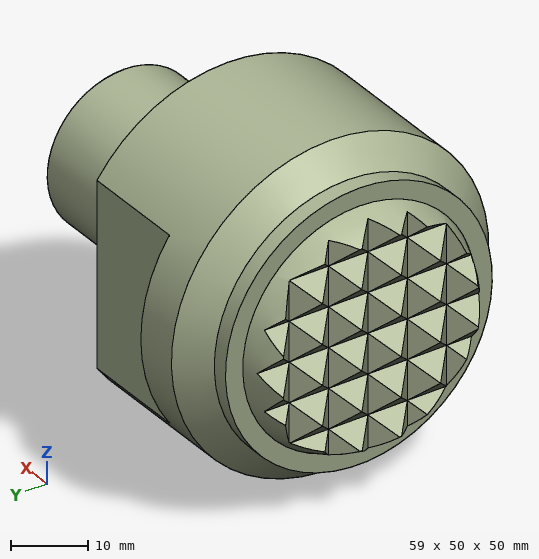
import cadquery as cq

total_length = 59.0

head_diameter = 50.0
rim_diameter = 42.0
rim_start = 5.15
rim_width = 2.55
bevel = (head_diameter - rim_diameter) / 2
bevel_start = rim_start + rim_width
bevel_end = bevel_start + bevel
head_end = 35.0

flats_width = 41.0
flats_length = 16.4

shank_diameter = 24.1
shank_chamfer = 0.55
neck_diameter = shank_diameter - 2 * shank_chamfer
neck_length = 4.95
shank_start = head_end + neck_length

ball_radius = 19.4
ball_center = bevel_end
tooth_pitch = 6.2
tooth_depth = tooth_pitch / 2
grooves_per_direction = 5


def make_ball_blank():
    """Full sphere that fills the socket."""
    profile = (
        cq.Workplane("XZ")
        .moveTo(ball_center - ball_radius, 0)
        .threePointArc((ball_center, ball_radius), (ball_center + ball_radius, 0))
        .close()
    )
    return profile.revolve(360, (0, 0, 0), (1, 0, 0))


def make_groove(offset):
    """90 degree V groove along Y, with its bottom at Z = offset."""
    return (
        cq.Workplane("XZ")
        .polyline([
            (tooth_depth, offset),
            (0, offset + tooth_pitch / 2),
            (0, offset - tooth_pitch / 2),
        ])
        .close()
        .extrude(ball_radius, both=True)
    )


def make_ball():
    """Ball cut flat at X = 0, with crossed V grooves that leave pyramid teeth."""
    flat_cutter = cq.Workplane("YZ").rect(2 * ball_radius, 2 * ball_radius).extrude(-ball_radius)
    ball = make_ball_blank().cut(flat_cutter)
    for index in range(grooves_per_direction):
        offset = (index - (grooves_per_direction - 1) / 2) * tooth_pitch
        groove = make_groove(offset)
        ball = ball.cut(groove)
        ball = ball.cut(groove.rotate((0, 0, 0), (1, 0, 0), 90))
    return ball


def make_housing():
    """Turned head and shank with two wrench flats and a spherical socket."""
    shank_radius = shank_diameter / 2
    housing = (
        cq.Workplane("XZ")
        .polyline([
            (rim_start, 0),
            (rim_start, rim_diameter / 2),
            (bevel_start, rim_diameter / 2),
            (bevel_end, head_diameter / 2),
            (head_end, head_diameter / 2),
            (head_end, neck_diameter / 2),
            (shank_start, neck_diameter / 2),
            (shank_start + shank_chamfer, shank_radius),
            (total_length - shank_chamfer, shank_radius),
            (total_length, shank_radius - shank_chamfer),
            (total_length, 0),
        ])
        .close()
        .revolve(360, (0, 0, 0), (1, 0, 0))
    )
    flat_cut_depth = (head_diameter - flats_width) / 2
    for side in (-1, 1):
        flat_cutter = cq.Workplane("XY").box(flats_length, flat_cut_depth, head_diameter).translate(
            (head_end - flats_length / 2, side * (flats_width + flat_cut_depth) / 2, 0)
        )
        housing = housing.cut(flat_cutter)
    return housing.cut(make_ball_blank())


housing = make_housing()
ball = make_ball()

result = cq.Compound.makeCompound([housing.val(), ball.val()])